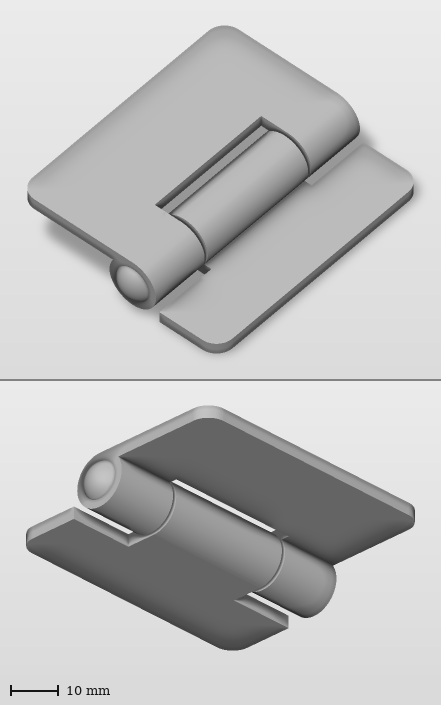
import cadquery as cq

pin_length = 70.0
overall_width = 56.0
barrel_diameter = 13.0

leaf_length = 65.0
leaf_thickness = 3.0
upper_leaf_reach = 32.0
lower_leaf_reach = overall_width - upper_leaf_reach
corner_radius = 4.5

middle_knuckle_length = 32.0
gap = 1.0
barrel_radius = barrel_diameter / 2
notch_reach = barrel_radius + gap
notch_length = middle_knuckle_length + 2 * gap
end_knuckle_length = (leaf_length - notch_length) / 2
end_knuckle_center = (leaf_length - end_knuckle_length) / 2

pin_diameter = 6.0
head_diameter = 9.0
head_height = (pin_length - leaf_length) / 2


def block(x_start, x_end, length, z_bottom, height, y_center=0):
    """Box spanning x_start to x_end, with its length centered on y_center."""
    box = cq.Workplane("XY").box(x_end - x_start, length, height, centered=(False, True, False))
    return box.translate((x_start, y_center, z_bottom))


def cylinder(diameter, length, y_center=0):
    """Cylinder on the hinge axis, centered on y_center."""
    bar = cq.Workplane("XZ").circle(diameter / 2).extrude(length / 2, both=True)
    return bar.translate((0, y_center, 0))


def make_upper_leaf():
    """Leaf tangent to the top of the barrel, with a knuckle at each end."""
    z_bottom = barrel_radius - leaf_thickness
    leaf = block(-upper_leaf_reach, 0, leaf_length, z_bottom, leaf_thickness)
    leaf = leaf.edges("|Z and <X").fillet(corner_radius)
    leaf = leaf.cut(block(-notch_reach, 0, notch_length, z_bottom, leaf_thickness))
    for side in (-1, 1):
        leaf = leaf.union(cylinder(barrel_diameter, end_knuckle_length, side * end_knuckle_center))
    return leaf.cut(cylinder(pin_diameter, leaf_length))


def make_lower_leaf():
    """Leaf tangent to the bottom of the barrel, with one middle knuckle."""
    leaf = block(notch_reach, lower_leaf_reach, leaf_length, -barrel_radius, leaf_thickness)
    leaf = leaf.edges("|Z and >X").fillet(corner_radius)
    leaf = leaf.union(block(0, notch_reach, middle_knuckle_length, -barrel_radius, leaf_thickness))
    leaf = leaf.union(cylinder(barrel_diameter, middle_knuckle_length))
    return leaf.cut(cylinder(pin_diameter, leaf_length))


def make_pin():
    """Pin with a domed head, a spherical cap, against each end of the barrel."""
    head_radius = head_diameter / 2
    dome_radius = (head_radius**2 + head_height**2) / (2 * head_height)
    dome_center = pin_length / 2 - dome_radius
    pin = cylinder(pin_diameter, leaf_length)
    head_y = (leaf_length + head_height) / 2
    for side in (-1, 1):
        dome = cq.Workplane("XY").sphere(dome_radius).translate((0, side * dome_center, 0))
        head = cylinder(2 * dome_radius, head_height, side * head_y).intersect(dome)
        pin = pin.union(head)
    return pin


upper_leaf = make_upper_leaf().solids()
lower_leaf = make_lower_leaf().solids()
pin = make_pin().solids()

result = cq.Compound.makeCompound([upper_leaf.val(), lower_leaf.val(), pin.val()])